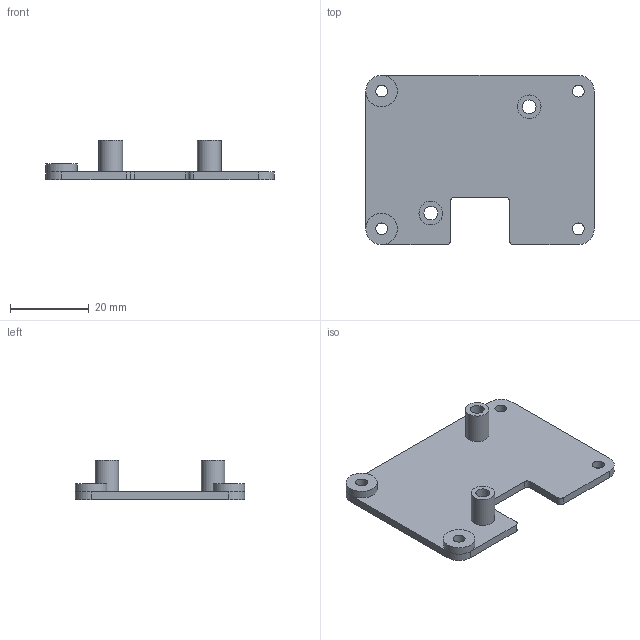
import cadquery as cq

plate_length = 58.0
plate_width = 43.0
plate_thickness = 2.0
corner_radius = 4.0

mount_hole_diameter = 3.0
mount_x = plate_length / 2 - corner_radius
mount_y = plate_width / 2 - corner_radius

pad_diameter = 2 * corner_radius
pad_top = 4.0

standoff_diameter = 6.0
standoff_hole_diameter = 3.5
standoff_top = 10.0
standoff_x = 12.5
standoff_y = 13.5

notch_width = 15.0
notch_depth = 12.0
notch_corner_radius = 1.0

mount_points = [(x, y) for x in (-mount_x, mount_x) for y in (-mount_y, mount_y)]
pad_points = [(x, y) for x, y in mount_points if x < 0]
standoff_points = [(-standoff_x, -standoff_y), (standoff_x, standoff_y)]


def cylinders(points, diameter, height):
    """Upright cylinders standing on Z = 0 at the given points."""
    return cq.Workplane("XY").pushPoints(points).circle(diameter / 2).extrude(height)


def notched_plate():
    """Rounded plate with the notch, its inner and mouth corners all rounded."""
    half_length = plate_length / 2
    half_width = plate_width / 2
    half_notch = notch_width / 2
    notch_end = notch_depth - half_width
    outline = [
        (-half_length, -half_width),
        (-half_notch, -half_width),
        (-half_notch, notch_end),
        (half_notch, notch_end),
        (half_notch, -half_width),
        (half_length, -half_width),
        (half_length, half_width),
        (-half_length, half_width),
    ]
    plate = cq.Workplane("XY").polyline(outline).close().extrude(plate_thickness)
    notch_zone = cq.selectors.BoxSelector(
        (-notch_width, -plate_width, -plate_thickness),
        (notch_width, plate_width, 2 * plate_thickness),
    )
    plate = plate.edges(notch_zone).edges("|Z").fillet(notch_corner_radius)
    outer_corners = plate.edges("|Z and (<X or >X)")
    return outer_corners.fillet(corner_radius)


body = notched_plate()
body = body.union(cylinders(pad_points, pad_diameter, pad_top))
body = body.union(cylinders(standoff_points, standoff_diameter, standoff_top))
body = body.cut(cylinders(mount_points, mount_hole_diameter, pad_top))
result = body.cut(cylinders(standoff_points, standoff_hole_diameter, standoff_top))